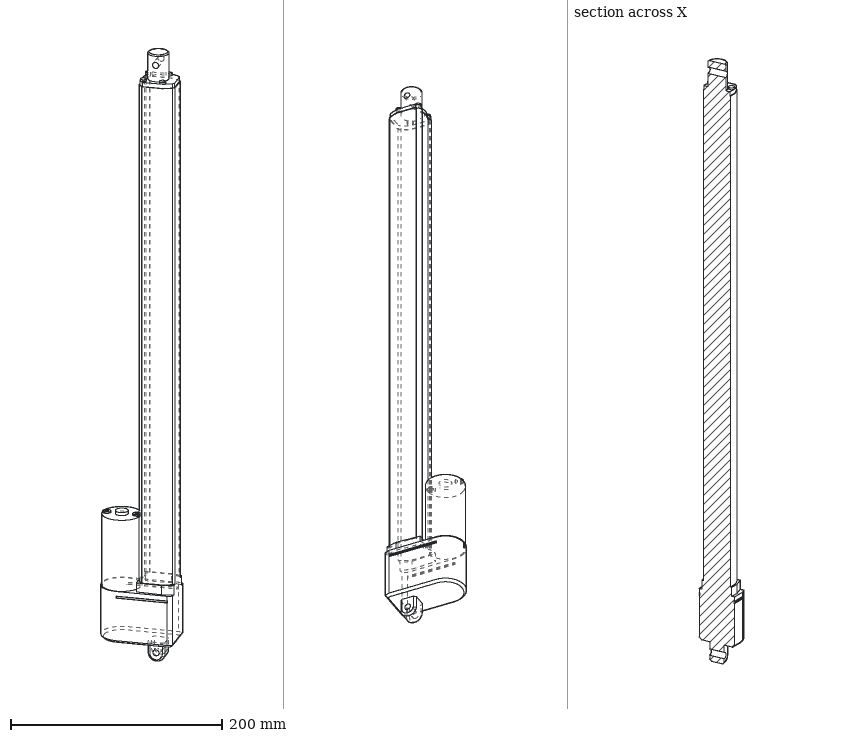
import cadquery as cq
import math


total_height = 614.0
housing_bottom = 19.5
housing_top = 72.0
collar_top = 81.0
motor_top = 143.5
cap_bottom = 582.5
cap_top = 587.0

housing_length = 75.0
housing_width = 40.0
housing_radius = housing_width / 2
housing_right = 19.0
motor_x = housing_right - housing_length + housing_radius
corner_chamfer_x = 5.0
corner_chamfer_y = 2.0
bottom_chamfer = 2.5
groove_bottom = 65.0
groove_height = 2.0
groove_depth = 0.5
notch_width = 2.0
notch_height = 6.0
notch_depth = 0.5

motor_diameter = 38.0
bearing_diameter = 12.0
bearing_height = 3.0
motor_screw_offset = 15.0
motor_screw_diameter = 8.0
motor_screw_height = 1.0
socket_diameter = 3.5
socket_depth = 0.5

tube_half_width = 15.5
pad_left = -12.0
pad_right = 8.0
lobe_diameter = 8.0
lobe_radius = lobe_diameter / 2
lobe_x = -12.0
lobe_y = 10.0
bulge_left = -15.5
crease_y = 6.45
shoulder_x = 12.0
shoulder_y = 14.0
nose_x = 17.0
nose_y = 11.5
nose_end_y = 9.0
collar_left = -17.0
collar_left_y = 16.0
collar_pad_y = 17.0
collar_nose_y = 14.0
cap_inset = 0.5

cap_screw_diameter = 6.0
cap_screw_height = 2.0
cap_screw_right_x = 7.5
cap_screw_right_y = 11.5

rod_diameter = 20.0
pin_hole_diameter = 6.0
rod_chamfer = 1.0
rod_hole_z = 603.5
clevis_width = 16.5
clevis_radius = clevis_width / 2
clevis_chamfer = 2.15
clevis_hole_z = 9.0


def cylinder(x, y, bottom, diameter, height):
    """Upright cylinder standing at (x, y)."""
    return cq.Workplane("XY", origin=(x, y, bottom)).circle(diameter / 2).extrude(height)


def cross_pin(z):
    """Pin hole along Y through the central axis."""
    profile = cq.Workplane("XZ", origin=(0, 0, z)).circle(pin_hole_diameter / 2)
    return profile.extrude(housing_width, both=True)


def make_housing():
    """Gear housing: round at the motor, chamfered at the tube, grooved on its sides."""
    chamfer_start = housing_right - corner_chamfer_x
    chamfer_end = housing_radius - corner_chamfer_y
    body = (
        cq.Workplane("XY", origin=(0, 0, housing_bottom))
        .moveTo(motor_x, housing_radius)
        .lineTo(chamfer_start, housing_radius)
        .lineTo(housing_right, chamfer_end)
        .lineTo(housing_right, -chamfer_end)
        .lineTo(chamfer_start, -housing_radius)
        .lineTo(motor_x, -housing_radius)
        .threePointArc((motor_x - housing_radius, 0), (motor_x, housing_radius))
        .close()
        .extrude(housing_top - housing_bottom)
        .faces("<Z")
        .edges()
        .chamfer(bottom_chamfer)
    )
    groove_length = chamfer_start - motor_x
    for side in (-1, 1):
        groove = (
            cq.Workplane("XY", origin=(motor_x + groove_length / 2, side * housing_radius, groove_bottom))
            .rect(groove_length, 2 * groove_depth)
            .extrude(groove_height)
        )
        body = body.cut(groove)
    notch = (
        cq.Workplane("XY", origin=(motor_x - housing_radius, 0, housing_top - notch_height))
        .rect(2 * notch_depth, notch_width)
        .extrude(notch_height)
    )
    return body.cut(notch)


def make_motor():
    """Motor can with a bearing boss and two socket screws on its end."""
    motor = cylinder(motor_x, 0, housing_top, motor_diameter, motor_top - housing_top)
    motor = motor.union(cylinder(motor_x, 0, motor_top, bearing_diameter, bearing_height))
    for side in (-1, 1):
        x = motor_x + side * motor_screw_offset
        socket_bottom = motor_top + motor_screw_height - socket_depth
        motor = motor.union(cylinder(x, 0, motor_top, motor_screw_diameter, motor_screw_height))
        motor = motor.cut(cylinder(x, 0, socket_bottom, socket_diameter, socket_depth))
    return motor


def make_tube_profile(bottom):
    """Tube outline: flat pads at +-Y, screw lobes at -X, tapered nose at +X."""
    lobe_crease_x = lobe_x - math.sqrt(lobe_radius**2 - (lobe_y - crease_y) ** 2)
    pad_step_y = lobe_y + math.sqrt(lobe_radius**2 - (lobe_x - pad_left) ** 2)
    return (
        cq.Workplane("XY", origin=(0, 0, bottom))
        .moveTo(pad_left, tube_half_width)
        .lineTo(pad_right, tube_half_width)
        .lineTo(shoulder_x, shoulder_y)
        .lineTo(nose_x, nose_y)
        .lineTo(housing_right, nose_end_y)
        .lineTo(housing_right, -nose_end_y)
        .lineTo(nose_x, -nose_y)
        .lineTo(shoulder_x, -shoulder_y)
        .lineTo(pad_right, -tube_half_width)
        .lineTo(pad_left, -tube_half_width)
        .lineTo(pad_left, -pad_step_y)
        .threePointArc((lobe_x - lobe_radius, -lobe_y), (lobe_crease_x, -crease_y))
        .threePointArc((bulge_left, 0), (lobe_crease_x, crease_y))
        .threePointArc((lobe_x - lobe_radius, lobe_y), (pad_left, pad_step_y))
        .close()
    )


def make_tube():
    """Extruded tube with a slightly smaller end cap and its four screws."""
    tube = make_tube_profile(housing_top).extrude(cap_bottom - housing_top)
    tube = tube.union(make_tube_profile(cap_bottom).offset2D(-cap_inset).extrude(cap_top - cap_bottom))
    for side in (-1, 1):
        for x, y in ((lobe_x, lobe_y), (cap_screw_right_x, cap_screw_right_y)):
            tube = tube.union(cylinder(x, side * y, cap_top, cap_screw_diameter, cap_screw_height))
    return tube


def make_collar():
    """Socket around the foot of the tube, widest where the nose taper starts."""
    outline = [
        (collar_left, collar_left_y),
        (pad_right, collar_pad_y),
        (housing_right, collar_nose_y),
        (housing_right, -collar_nose_y),
        (pad_right, -collar_pad_y),
        (collar_left, -collar_left_y),
    ]
    collar = cq.Workplane("XY", origin=(0, 0, housing_top)).polyline(outline).close()
    return collar.extrude(collar_top - housing_top)


def make_rod():
    """Chamfered rod end with its cross hole."""
    rod = cylinder(0, 0, cap_bottom, rod_diameter, total_height - cap_bottom)
    rod = rod.faces(">Z").chamfer(rod_chamfer)
    return rod.cut(cross_pin(rod_hole_z))


def make_clevis():
    """Rear mounting eye with a rounded end and chamfered faces."""
    eye = (
        cq.Workplane("XZ")
        .moveTo(-clevis_radius, housing_bottom)
        .lineTo(-clevis_radius, clevis_radius)
        .threePointArc((0, 0), (clevis_radius, clevis_radius))
        .lineTo(clevis_radius, housing_bottom)
        .close()
        .extrude(clevis_radius, both=True)
        .faces("<Y or >Y")
        .edges("not >Z")
        .chamfer(clevis_chamfer)
    )
    return eye.cut(cross_pin(clevis_hole_z))


result = (
    make_housing()
    .union(make_motor())
    .union(make_collar())
    .union(make_tube())
    .union(make_rod())
    .union(make_clevis())
)